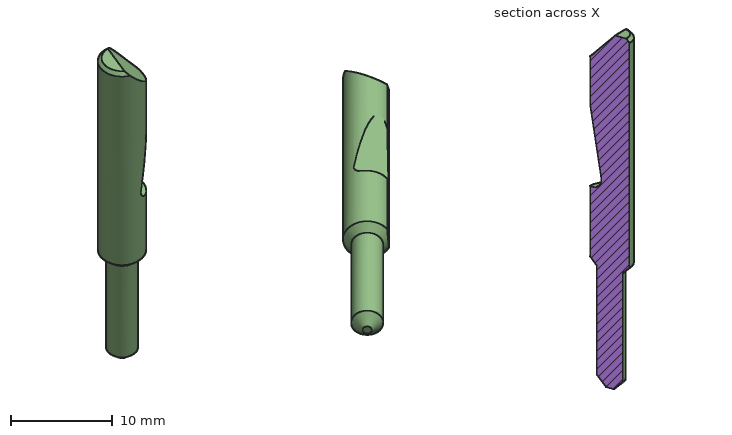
import cadquery as cq
import math

total_length = 38.1
shank_radius = 2.38
pin_radius = 1.58
tip_radius = 0.45
tip_height = 1.05
pin_top = 12.75
top_chamfer = 0.4

slant_start_y = -0.65

flat_distance = 2.05
flat_normal_angle = 144.0

notch_floor = 21.15
notch_top = 29.87
notch_angle = 10.0
notch_fillet = 1.0

clearance = 0.75


def stepped_body():
    """Shank and pin; a 45 degree cone joins them."""
    shoulder_top = pin_top + shank_radius - pin_radius
    return (
        cq.Workplane("XZ")
        .moveTo(0, 0)
        .lineTo(tip_radius, 0)
        .lineTo(pin_radius, tip_height)
        .lineTo(pin_radius, pin_top)
        .lineTo(shank_radius, shoulder_top)
        .lineTo(shank_radius, total_length - top_chamfer)
        .lineTo(shank_radius - top_chamfer, total_length)
        .lineTo(0, total_length)
        .close()
        .revolve(360, (0, 0, 0), (0, 1, 0))
    )


def side_cutter(points):
    """Prism of a YZ outline reaching across the whole shank in X."""
    return cq.Workplane("YZ").polyline(points).close().extrude(shank_radius + clearance, both=True)


def top_slant_cutter():
    outer_y = shank_radius + clearance
    high_y = slant_start_y - clearance
    return side_cutter([
        (high_y, total_length + clearance),
        (outer_y, total_length + clearance),
        (outer_y, total_length - (outer_y - slant_start_y)),
    ])


def notch_cutter():
    """Sloping relief with a rounded corner above its level floor."""
    slope = math.tan(math.radians(notch_angle))
    corner_y = shank_radius - (notch_top - notch_floor) * slope
    outer_y = shank_radius + clearance
    cutter = side_cutter([
        (corner_y, notch_floor),
        (outer_y, notch_floor),
        (outer_y, notch_top + clearance / slope),
    ])
    return cutter.edges("|X").edges("<Y").fillet(notch_fillet)


def flat_cutter():
    """Block beyond the flat; the narrower pin lies clear of it."""
    return (
        cq.Workplane("XY")
        .box(shank_radius, 2 * shank_radius, total_length, centered=(False, True, False))
        .translate((flat_distance, 0, 0))
        .rotate((0, 0, 0), (0, 0, 1), flat_normal_angle)
    )


result = stepped_body().cut(top_slant_cutter()).cut(notch_cutter()).cut(flat_cutter())